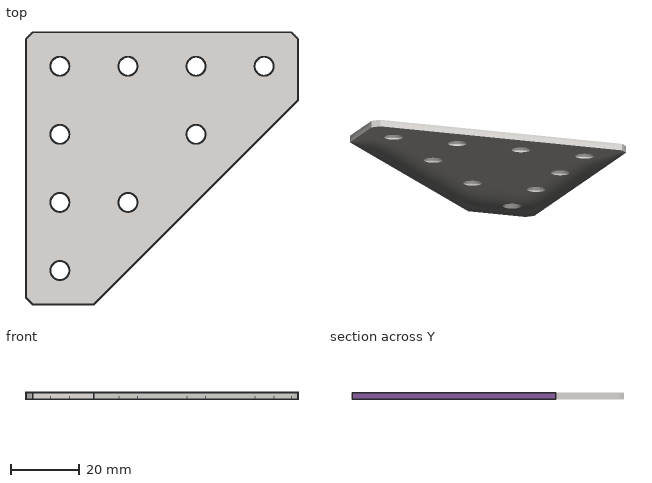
import cadquery as cq

side = 80.0
thickness = 2.0
corner_cut = 2.0

holes_per_side = 4
pitch = side / holes_per_side
edge_distance = pitch / 2
hole_diameter = 5.5

arm_width = pitch


def plate():
    """Square plate with one large diagonal edge and three small corner cuts."""
    outline = [
        (corner_cut, 0),
        (arm_width, 0),
        (side, side - arm_width),
        (side, side - corner_cut),
        (side - corner_cut, side),
        (corner_cut, side),
        (0, side - corner_cut),
        (0, corner_cut),
    ]
    return cq.Workplane("XY").polyline(outline).close().extrude(thickness)


def hole_centers():
    """Grid places along the left edge, the top edge and the diagonal edge."""
    last = holes_per_side - 1
    centers = []
    for column in range(holes_per_side):
        for row in range(holes_per_side):
            on_straight_edge = column == 0 or row == last
            on_diagonal = column == row
            if on_straight_edge or on_diagonal:
                centers.append((edge_distance + column * pitch, edge_distance + row * pitch))
    return centers


holes = cq.Workplane("XY").pushPoints(hole_centers()).circle(hole_diameter / 2).extrude(thickness)

result = plate().cut(holes)